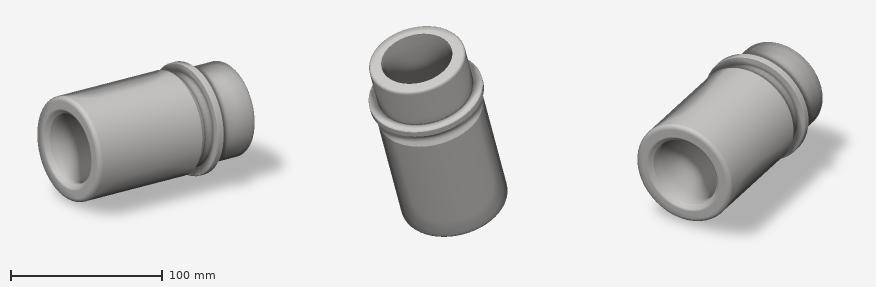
import cadquery as cq

TOTAL_LENGTH = 130.0

BODY_RADIUS = 72.0 / 2
SHANK_RADIUS = 65.0 / 2
COLLAR_RADIUS = 77.0 / 2
RELIEF_DEPTH = 0.5
RELIEF_RADIUS = SHANK_RADIUS - RELIEF_DEPTH

TAPER_START = 84.0
TAPER_END = TAPER_START + 5.0
COLLAR_START = 95.0
COLLAR_END = COLLAR_START + 5.0
RELIEF_END = COLLAR_END + 1.0
RELIEF_RAMP_END = RELIEF_END + RELIEF_DEPTH

BODY_END_ROUND = 3.0
SHANK_END_ROUND = 2.0
COLLAR_CHAMFER = 0.5

BORE_RADIUS = 48.0 / 2
LEAD_IN = 3.0
MOUTH_ROUND = 2.0
THROAT_ROUND = 0.5

EDGE_MARGIN = 0.1


def bushing_profile():
    """Half section as (radius, axial position), with sharp bore and end corners."""
    return (
        cq.Workplane("XY")
        .moveTo(BORE_RADIUS + LEAD_IN, 0)
        .lineTo(BODY_RADIUS, 0)
        .lineTo(BODY_RADIUS, TAPER_START)
        .lineTo(SHANK_RADIUS, TAPER_END)
        .lineTo(SHANK_RADIUS, COLLAR_START)
        .lineTo(COLLAR_RADIUS - COLLAR_CHAMFER, COLLAR_START)
        .lineTo(COLLAR_RADIUS, COLLAR_START + COLLAR_CHAMFER)
        .lineTo(COLLAR_RADIUS, COLLAR_END - COLLAR_CHAMFER)
        .lineTo(COLLAR_RADIUS - COLLAR_CHAMFER, COLLAR_END)
        .lineTo(RELIEF_RADIUS, COLLAR_END)
        .lineTo(RELIEF_RADIUS, RELIEF_END)
        .lineTo(SHANK_RADIUS, RELIEF_RAMP_END)
        .lineTo(SHANK_RADIUS, TOTAL_LENGTH)
        .lineTo(BORE_RADIUS, TOTAL_LENGTH)
        .lineTo(BORE_RADIUS, LEAD_IN)
        .close()
    )


def round_circle(solid, circle_radius, position, round_radius):
    """Fillet the circular edge of the given radius at the given place along Y."""
    reach = circle_radius + EDGE_MARGIN
    lower_corner = (-reach, position - EDGE_MARGIN, -reach)
    upper_corner = (reach, position + EDGE_MARGIN, reach)
    edges_within = cq.selectors.BoxSelector(lower_corner, upper_corner, boundingbox=True)
    circle = solid.edges(edges_within).edges(cq.selectors.RadiusNthSelector(-1))
    return circle.fillet(round_radius)


bushing = bushing_profile().revolve(360, (0, 0, 0), (0, 1, 0))
bushing = round_circle(bushing, BODY_RADIUS, 0, BODY_END_ROUND)
bushing = round_circle(bushing, SHANK_RADIUS, TOTAL_LENGTH, SHANK_END_ROUND)
bushing = round_circle(bushing, BORE_RADIUS + LEAD_IN, 0, MOUTH_ROUND)
bushing = round_circle(bushing, BORE_RADIUS, LEAD_IN, THROAT_ROUND)
result = bushing